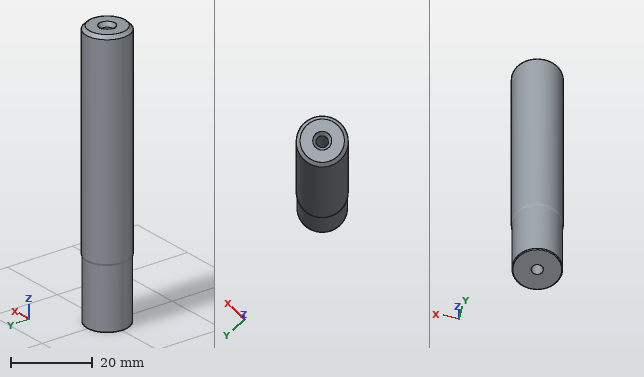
import cadquery as cq

length = 80.0
body_diameter = 12.7
top_chamfer = 1.0

shank_diameter = 12.4
shank_length = 18.0
shoulder_height = 0.6
bottom_chamfer = 0.2

hole_diameter = 3.0
countersink_diameter = 4.6
countersink_depth = 1.2

body_radius = body_diameter / 2
shank_radius = shank_diameter / 2
shoulder_top = shank_length + shoulder_height


def make_pin():
    """Revolve the stepped outer profile about Z."""
    profile = [
        (0, 0),
        (shank_radius - bottom_chamfer, 0),
        (shank_radius, bottom_chamfer),
        (shank_radius, shank_length),
        (body_radius, shoulder_top),
        (body_radius, length - top_chamfer),
        (body_radius - top_chamfer, length),
        (0, length),
    ]
    return cq.Workplane("XZ").polyline(profile).close().revolve(360, (0, 0), (0, 1))


def make_hole():
    """Through hole with a conical countersink at the top face."""
    hole_radius = hole_diameter / 2
    profile = [
        (0, 0),
        (hole_radius, 0),
        (hole_radius, length - countersink_depth),
        (countersink_diameter / 2, length),
        (0, length),
    ]
    return cq.Workplane("XZ").polyline(profile).close().revolve(360, (0, 0), (0, 1))


result = make_pin().cut(make_hole())